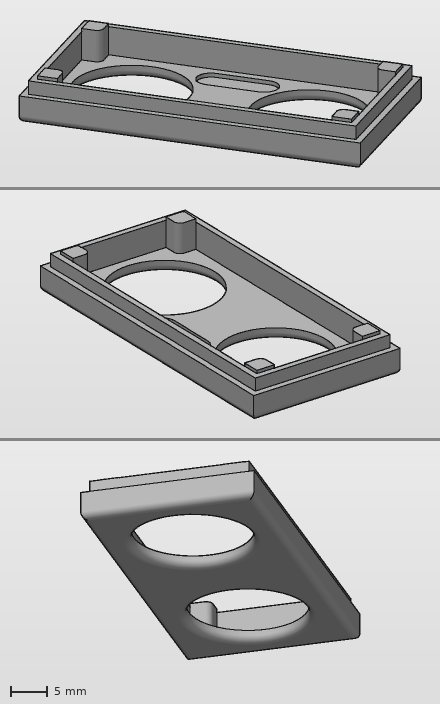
import cadquery as cq

length = 50.0
width = 25.0
base_height = 4.0
lip_height = 2.0
lip_inset = 1.0
bottom_radius = 1.0

wall = 1.0
floor_thickness = 1.8
inner_length = length - 2 * (lip_inset + wall)
inner_width = width - 2 * (lip_inset + wall)

post_length = 2.9
post_width = 3.0
post_radius = 1.0
post_rise = 0.5

hole_diameter = 17.0
hole_spacing = 26.0
slot_length = 12.0
slot_width = 4.25
slot_offset = 7.1
slot_depth = 0.6

rim_height = base_height + lip_height
post_top = rim_height + post_rise


def make_body():
    base = cq.Workplane("XY").box(length, width, base_height, centered=(True, True, False))
    lip = (
        cq.Workplane("XY", origin=(0, 0, base_height))
        .rect(length - 2 * lip_inset, width - 2 * lip_inset)
        .extrude(lip_height)
    )
    cavity = (
        cq.Workplane("XY", origin=(0, 0, floor_thickness))
        .rect(inner_length, inner_width)
        .extrude(rim_height - floor_thickness)
    )
    return base.union(lip).cut(cavity)


def make_post(side_x, side_y):
    """Post in one cavity corner, rounded on the edge facing the centre."""
    center_x = side_x * (inner_length - post_length) / 2
    center_y = side_y * (inner_width - post_width) / 2
    inward_edge = ("<X" if side_x > 0 else ">X") + " and " + ("<Y" if side_y > 0 else ">Y")
    return (
        cq.Workplane("XY", origin=(center_x, center_y, floor_thickness))
        .rect(post_length, post_width)
        .extrude(post_top - floor_thickness)
        .edges(inward_edge)
        .fillet(post_radius)
    )


round_holes = (
    cq.Workplane("XY")
    .pushPoints([(-hole_spacing / 2, 0), (hole_spacing / 2, 0)])
    .circle(hole_diameter / 2)
    .extrude(floor_thickness)
)

slot_pocket = (
    cq.Workplane("XY", origin=(0, slot_offset, floor_thickness - slot_depth))
    .slot2D(slot_length, slot_width)
    .extrude(slot_depth)
)

result = make_body().cut(round_holes).cut(slot_pocket)

result = result.faces("<Z").edges().fillet(bottom_radius)

for side_x in (-1, 1):
    for side_y in (-1, 1):
        result = result.union(make_post(side_x, side_y))